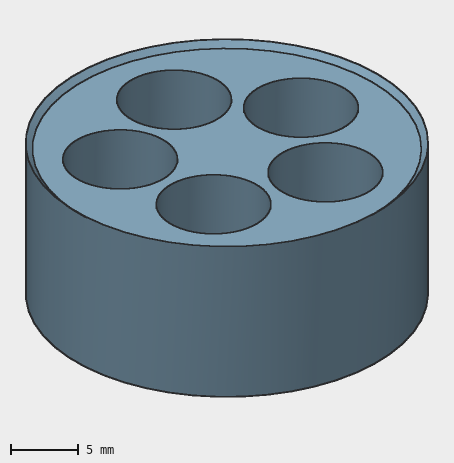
import cadquery as cq

body_diameter = 29.8
body_height = 13.0

recess_depth = 0.5
recess_floor_diameter = body_diameter - 2 * recess_depth

hole_count = 5
hole_diameter = 8.5
hole_ring_radius = 8.05
first_hole_angle = 90


def make_body():
    return cq.Workplane("XY").circle(body_diameter / 2).extrude(body_height)


def make_recess():
    """Conical cutter that widens from the recess floor to the rim."""
    return (
        cq.Workplane("XY")
        .workplane(offset=body_height - recess_depth)
        .circle(recess_floor_diameter / 2)
        .workplane(offset=recess_depth)
        .circle(body_diameter / 2)
        .loft(ruled=True)
    )


def make_holes():
    return (
        cq.Workplane("XY")
        .polarArray(hole_ring_radius, first_hole_angle, 360, hole_count)
        .circle(hole_diameter / 2)
        .extrude(body_height)
    )


result = make_body().cut(make_recess()).cut(make_holes())